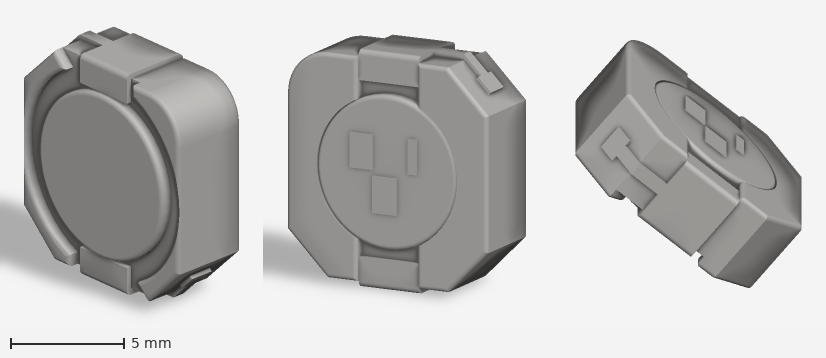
import cadquery as cq
import math

WIDTH = 10.0
HEIGHT = 10.19
DEPTH = 3.8
CORNER = 2.0
EDGE_RADIUS = 0.2
HALF_X = WIDTH / 2
HALF_Z = HEIGHT / 2
FRONT_Y = -DEPTH / 2
BACK_Y = DEPTH / 2
CORNER_X = HALF_X - CORNER
CORNER_Z = HALF_Z - CORNER

RECESS_DEPTH = 0.54
RECESS_RADIUS = 4.95
NOTCH_WALL_X = 2.0
OPENING_START_Z = 2.15
REACH = 8.6
FLOOR_Y = FRONT_Y + RECESS_DEPTH

FLANGE_RADIUS = 7.9 / 2
SHANK_RADIUS = 7.0 / 2

TERMINAL_HALF_Z = 5.38
TERMINAL_WIDTH = 3.0
TERMINAL_DEPTH = 3.4
SHEET = 0.25
LEG_END_Z = 4.0
ARM_WIDTH = 0.6
TAB_WIDTH = 1.2
TAB_LENGTH = 0.9
ARM_RUN = 1.5

MARK_HEIGHT = 0.11
MARKS = [
    (-1.53, -1.1, 0.08, 1.68),
    (-0.53, 0.68, -1.87, -0.18),
    (0.68, 1.8, 0.08, 1.68),
]


def front_plane(y):
    """Plane at the given Y, with local x along +X, local y along +Z and its normal toward -Y."""
    return cq.Workplane("XZ", origin=(0, y, 0))


def turned(body, angle):
    """The body turned about the Y axis."""
    return body.rotate((0, 0, 0), (0, 1, 0), angle)



def make_block():
    """Octagonal block with one rounded corner and rounded front and back edges."""
    arc_inset = CORNER * (1 - math.sqrt(0.5))
    block = (
        front_plane(BACK_Y)
        .moveTo(-CORNER_X, HALF_Z)
        .lineTo(CORNER_X, HALF_Z)
        .threePointArc((HALF_X - arc_inset, HALF_Z - arc_inset), (HALF_X, CORNER_Z))
        .lineTo(HALF_X, -CORNER_Z)
        .lineTo(CORNER_X, -HALF_Z)
        .lineTo(-CORNER_X, -HALF_Z)
        .lineTo(-HALF_X, -CORNER_Z)
        .lineTo(-HALF_X, CORNER_Z)
        .close()
        .extrude(DEPTH)
    )
    return block.faces("<Y or >Y").edges().fillet(EDGE_RADIUS)


def flared_profile(inner_x, wall_x):
    """Section of a front recess from inner_x to a wall at wall_x, rounded outward at its mouth."""
    bend = EDGE_RADIUS * (1 - math.sqrt(0.5))
    return (
        cq.Workplane("XY")
        .moveTo(inner_x, FLOOR_Y)
        .lineTo(wall_x, FLOOR_Y)
        .lineTo(wall_x, FRONT_Y + EDGE_RADIUS)
        .threePointArc((wall_x + bend, FRONT_Y + bend), (wall_x + EDGE_RADIUS, FRONT_Y))
        .lineTo(inner_x, FRONT_Y)
        .close()
    )


def round_recess():
    return flared_profile(0, RECESS_RADIUS).revolve(360, (0, 0, 0), (0, 1, 0))


def half_opening(wall_x):
    """Long cutter on the -X side of a flared wall that runs along Z."""
    return flared_profile(wall_x - REACH, wall_x).extrude(REACH, both=True)


def upper_part(cutter):
    """The part of a cutter above OPENING_START_Z."""
    keep = cq.Workplane("XY", origin=(0, 0, OPENING_START_Z)).box(
        2 * REACH, 2 * REACH, REACH, centered=(True, True, False)
    )
    return cutter.intersect(keep)


def front_notch():
    """Upper notch between a straight wall and a wall square to the chamfer at its upper corner."""
    chamfer_corner_distance = (CORNER_X - HALF_Z) / math.sqrt(2)
    sloped_side = turned(half_opening(chamfer_corner_distance), 135)
    return upper_part(half_opening(NOTCH_WALL_X).intersect(sloped_side))


def back_slot():
    """Upper slot in the back face, as wide as a terminal."""
    side = half_opening(TERMINAL_WIDTH / 2)
    return upper_part(side.intersect(turned(side, 180))).mirror("XZ")


def make_housing():
    housing = make_block().cut(round_recess())
    for angle in (0, 180):
        housing = housing.cut(turned(front_notch(), angle))
        housing = housing.cut(turned(back_slot(), angle))
    shank_hole = front_plane(BACK_Y).circle(SHANK_RADIUS).extrude(DEPTH)
    return housing.cut(shank_hole)



def make_core():
    """Shank with a wider flange at the front; both end edges are rounded."""
    flange = front_plane(FLOOR_Y).circle(FLANGE_RADIUS).extrude(RECESS_DEPTH)
    shank = front_plane(BACK_Y).circle(SHANK_RADIUS).extrude(DEPTH - RECESS_DEPTH)
    return flange.union(shank).faces("<Y or >Y").edges().fillet(EDGE_RADIUS)



def make_clip():
    """U-shaped strip over the upper edge of the housing, with rounded outer bends."""
    strip_height = TERMINAL_HALF_Z - LEG_END_Z
    mid_z = (TERMINAL_HALF_Z + LEG_END_Z) / 2
    outside = (
        cq.Workplane("XY", origin=(0, 0, mid_z))
        .box(TERMINAL_WIDTH, TERMINAL_DEPTH, strip_height)
        .faces(">Z")
        .edges("|X")
        .fillet(SHEET)
    )
    inside = cq.Workplane("XY", origin=(0, 0, mid_z - SHEET)).box(
        TERMINAL_WIDTH, TERMINAL_DEPTH - 2 * SHEET, strip_height
    )
    return outside.cut(inside)


def make_arm():
    """Flat arm that bends down along the chamfer and ends in a wider tab."""
    inner_z = TERMINAL_HALF_Z - SHEET
    half_sheet = SHEET / 2
    tip_x = -CORNER_X - ARM_RUN
    tip_z = TERMINAL_HALF_Z - ARM_RUN
    tab_run = TAB_LENGTH / math.sqrt(2)
    arm = (
        front_plane(ARM_WIDTH / 2)
        .moveTo(-TERMINAL_WIDTH / 2, TERMINAL_HALF_Z)
        .lineTo(-CORNER_X, TERMINAL_HALF_Z)
        .lineTo(tip_x, tip_z)
        .lineTo(tip_x + half_sheet, tip_z - half_sheet)
        .lineTo(-CORNER_X, inner_z)
        .lineTo(-TERMINAL_WIDTH / 2, inner_z)
        .close()
        .extrude(ARM_WIDTH)
    )
    tab = (
        front_plane(TAB_WIDTH / 2)
        .moveTo(tip_x, tip_z)
        .lineTo(tip_x + half_sheet, tip_z - half_sheet)
        .lineTo(tip_x + half_sheet + tab_run, tip_z - half_sheet + tab_run)
        .lineTo(tip_x + tab_run, tip_z + tab_run)
        .close()
        .extrude(TAB_WIDTH)
    )
    return arm.union(tab)


def make_terminal(angle):
    return turned(make_clip().union(make_arm()), angle)



def make_mark(left, right, bottom, top):
    corner = cq.Workplane("XY", origin=(left, BACK_Y, bottom))
    return corner.box(right - left, MARK_HEIGHT, top - bottom, centered=False)


housing = make_housing()
core = make_core()
terminals = [make_terminal(angle) for angle in (0, 180)]
marks = [make_mark(*sides) for sides in MARKS]

result = cq.Compound.makeCompound([
    housing.val(),
    core.val(),
    *[terminal.val() for terminal in terminals],
    *[mark.val() for mark in marks],
])